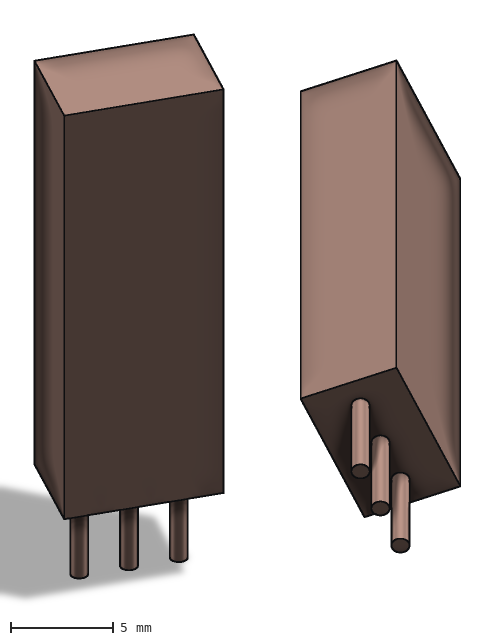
import cadquery as cq

housing_width = 5.08
housing_depth = 8.13
housing_height = 23.65

pin_count = 3
pin_pitch = 2.54
pin_diameter = 0.89
pin_length = 5.08


def make_housing():
    """Plain block centred on the Z axis."""
    return cq.Workplane("XY").box(
        housing_width, housing_depth, housing_height, centered=(True, True, False)
    )


def make_pin(y_position):
    """Straight pin whose top end meets the housing underside."""
    return (
        cq.Workplane("XY")
        .center(0, y_position)
        .circle(pin_diameter / 2)
        .extrude(-pin_length)
    )


housing = make_housing()

first_pin_y = -(pin_count - 1) * pin_pitch / 2
pins = [make_pin(first_pin_y + index * pin_pitch) for index in range(pin_count)]

result = cq.Compound.makeCompound([housing.val(), *[pin.val() for pin in pins]])